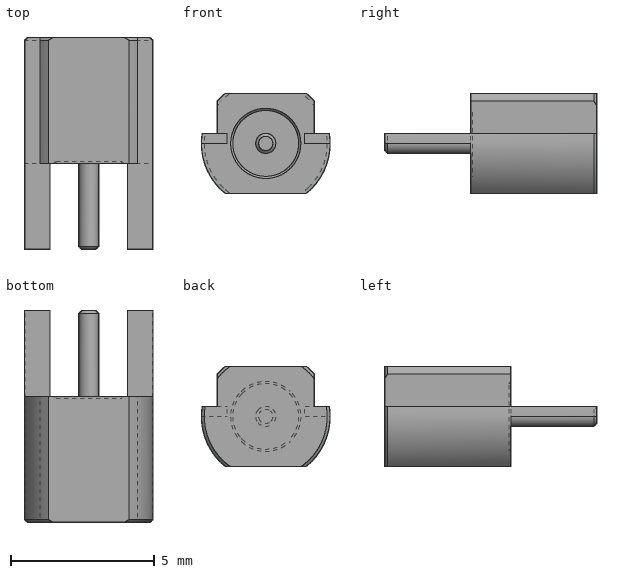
import cadquery as cq

total_length = 7.4
body_length = 4.4
body_diameter = 4.5
body_height = 3.5

block_width = 3.4
shoulder_z = 0.35
rear_chamfer = 0.1

leg_gap = 2.69
pin_diameter = 0.7
pin_chamfer = 0.1
front_reach = total_length - body_length

groove_diameter = 2.45
insulator_diameter = 2.3
groove_depth = (groove_diameter - insulator_diameter) / 2


def cylinder_along_y(diameter, start_y, end_y):
    """Round bar on the connector axis."""
    profile = cq.Workplane("XZ", origin=(0, end_y, 0)).circle(diameter / 2)
    return profile.extrude(end_y - start_y)


def make_turned_bar():
    """Full-length round bar with flats above and below and a chamfered rear rim."""
    bar = cylinder_along_y(body_diameter, -front_reach, body_length)
    bar = bar.faces(">Y").chamfer(rear_chamfer)
    flats = cq.Workplane("XY").box(body_diameter, 2 * total_length, body_height)
    return bar.intersect(flats)


def cut_shoulders(bar):
    """Remove the upper sides, leaving the narrower block between flat shoulders."""
    for side in (-1, 1):
        waste = cq.Workplane("XY").box(
            body_diameter, 2 * total_length, body_height, centered=(True, True, False)
        )
        bar = bar.cut(waste.translate((side * (block_width + body_diameter) / 2, 0, shoulder_z)))
    return bar


def cut_front_to_legs(bar):
    """Clear the front end except for a leg on each side, from the axis to the shoulder."""
    front = cq.Workplane("XY").box(
        body_diameter, front_reach, body_height, centered=(True, False, True)
    ).translate((0, -front_reach, 0))
    for side in (-1, 1):
        leg_space = cq.Workplane("XY").box(
            body_diameter, front_reach, shoulder_z, centered=(True, False, False)
        )
        front = front.cut(leg_space.translate((side * (leg_gap + body_diameter) / 2, -front_reach, 0)))
    return bar.cut(front)


def make_groove():
    """Ring with a straight inner wall and a 45-degree outer wall."""
    return (
        cq.Workplane("XY")
        .polyline([
            (insulator_diameter / 2, 0),
            (groove_diameter / 2, 0),
            (insulator_diameter / 2, groove_depth),
        ])
        .close()
        .revolve(360, (0, 0, 0), (0, 1, 0))
    )


def make_pin():
    """Centre pin with a chamfered tip, rising from the insulator face."""
    pin = cylinder_along_y(pin_diameter, -front_reach, 0)
    return pin.faces("<Y").chamfer(pin_chamfer)


body = cut_front_to_legs(cut_shoulders(make_turned_bar()))
result = body.cut(make_groove()).union(make_pin())